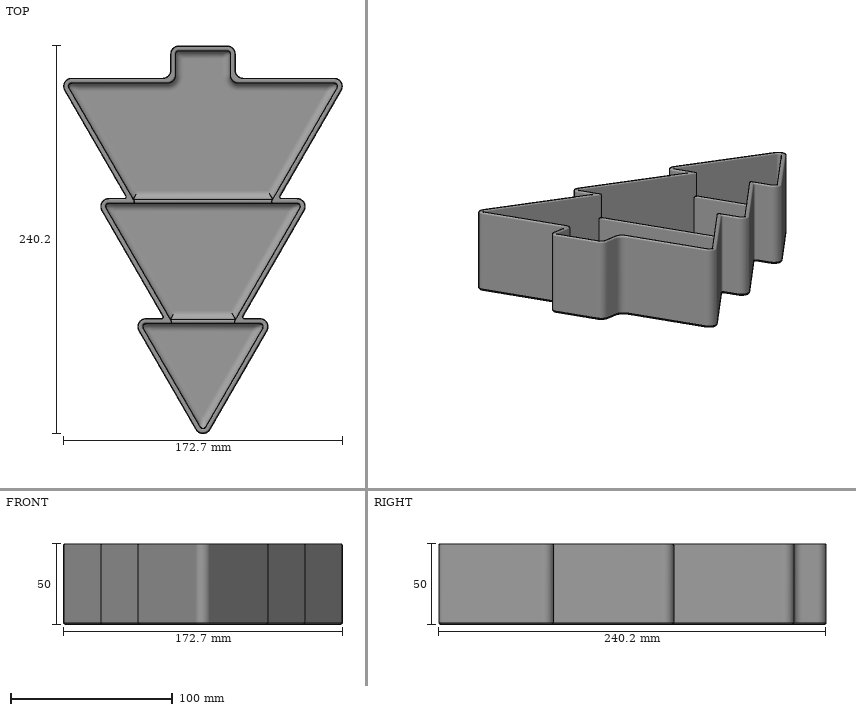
import cadquery as cq
import math

HEIGHT = 50.0
FLOOR = 5.0
WALL = 3.0
DIVIDER = 2.5
DIVIDER_TOP = 35.0
TRUNK_WIDTH = 40.0
TRUNK_LENGTH = 20.0
TIER_COUNT = 3
TIER_PITCH = 74.5
TOP_WIDTH = 180.0
SHOULDER_STEP = 20.0
SIDE_ANGLE = 60.0

CORNER_RADIUS = 5.0
TRUNK_ROOT_RADIUS = 5.0
NOTCH_RADIUS = 1.0
INNER_WAIST_RADIUS = 1.0
FLOOR_RADIUS = 5.0
RIM_RADIUS = 1.0
BASE_CHAMFER = 1.0

PICK_MARGIN = 0.1

INNER_CORNER_RADIUS = CORNER_RADIUS - WALL
INNER_ROOT_RADIUS = TRUNK_ROOT_RADIUS
SIDE_SLOPE = math.tan(math.radians(SIDE_ANGLE))
SIDE_INSET = WALL / math.sin(math.radians(SIDE_ANGLE))
PITCH_NARROWING = TIER_PITCH / SIDE_SLOPE
TRUNK_HALF = TRUNK_WIDTH / 2


def shoulder_y(tier):
    return -tier * TIER_PITCH


def shoulder_half(tier):
    """Half width of a tier at its shoulder, before corner rounding."""
    return TOP_WIDTH / 2 - tier * (PITCH_NARROWING - SHOULDER_STEP)


def side_x(tier, y):
    """X of the right-hand sloping side of a tier at the given Y."""
    return shoulder_half(tier) - (shoulder_y(tier) - y) / SIDE_SLOPE


def inner_side_point(tier, y):
    """Point on the inside face of a tier's right-hand sloping wall."""
    return (side_x(tier, y) - SIDE_INSET, y)


def divider_y(tier):
    """Y of the divider face that closes off a tier's cavity."""
    return shoulder_y(tier + 1) - WALL + DIVIDER


def mirrored_prism(right_points, base, height):
    """Extrude an outline given by its right-hand points, mirrored about X = 0."""
    left_points = [(-x, y) for x, y in reversed(right_points) if x > 0]
    outline = cq.Workplane("XY").workplane(offset=base).polyline(right_points + left_points).close()
    return outline.extrude(height)


def fillet_uprights(body, points, radius):
    """Round the vertical edges through the given right-hand points and their mirror images."""
    for x, y in points:
        for side in {x, -x}:
            low = (side - PICK_MARGIN, y - PICK_MARGIN, 0)
            high = (side + PICK_MARGIN, y + PICK_MARGIN, HEIGHT)
            body = body.edges("|Z").edges(cq.selectors.BoxSelector(low, high)).fillet(radius)
    return body


def make_outer_block():
    trunk_tip = (TRUNK_HALF, TRUNK_LENGTH)
    trunk_root = (TRUNK_HALF, 0)
    points = [trunk_tip, trunk_root]
    corners = [trunk_tip]
    notches = []
    for tier in range(TIER_COUNT):
        shoulder = (shoulder_half(tier), shoulder_y(tier))
        points.append(shoulder)
        corners.append(shoulder)
        if tier < TIER_COUNT - 1:
            waist_y = shoulder_y(tier + 1)
            waist = (side_x(tier, waist_y), waist_y)
            points.append(waist)
            notches.append(waist)
    last = TIER_COUNT - 1
    apex = (0, shoulder_y(last) - shoulder_half(last) * SIDE_SLOPE)
    points.append(apex)
    corners.append(apex)

    block = mirrored_prism(points, 0, HEIGHT)
    block = fillet_uprights(block, corners, CORNER_RADIUS)
    block = fillet_uprights(block, [trunk_root], TRUNK_ROOT_RADIUS)
    return fillet_uprights(block, notches, NOTCH_RADIUS)


def make_cavity(tier):
    """Space inside one tier; corners at a divider stay sharp in plan."""
    top_y = shoulder_y(tier) - WALL
    outline = []
    roots = []
    corners = []
    if tier == 0:
        trunk_half = TRUNK_HALF - WALL
        trunk_tip = (trunk_half, TRUNK_LENGTH - WALL)
        trunk_root = (trunk_half, top_y)
        outline += [trunk_tip, trunk_root]
        corners.append(trunk_tip)
        roots.append(trunk_root)
    shoulder = inner_side_point(tier, top_y)
    outline.append(shoulder)
    corners.append(shoulder)
    if tier < TIER_COUNT - 1:
        outline.append(inner_side_point(tier, divider_y(tier)))
    else:
        apex = (0, top_y - shoulder[0] * SIDE_SLOPE)
        outline.append(apex)
        corners.append(apex)

    cavity = mirrored_prism(outline, FLOOR, HEIGHT - FLOOR)
    cavity = fillet_uprights(cavity, roots, INNER_ROOT_RADIUS)
    cavity = fillet_uprights(cavity, corners, INNER_CORNER_RADIUS)
    return cavity.faces("<Z").edges().fillet(FLOOR_RADIUS)


def make_divider_opening(tier):
    """Space above a divider, joining the cavities on either side of it."""
    end_y = shoulder_y(tier + 1) - WALL
    points = [inner_side_point(tier, divider_y(tier)), inner_side_point(tier, end_y)]
    return mirrored_prism(points, DIVIDER_TOP, HEIGHT - DIVIDER_TOP)


def open_divider(body, tier):
    """Lower the divider after a tier and round the wall corners above its ends."""
    body = body.cut(make_divider_opening(tier))
    inner_waist = inner_side_point(tier, shoulder_y(tier + 1) - WALL)
    return fillet_uprights(body, [inner_waist], INNER_WAIST_RADIUS)


def round_divider(body, tier):
    """Round both long top edges of the divider after a tier."""
    for y in (shoulder_y(tier + 1) - WALL, divider_y(tier)):
        edge = cq.selectors.NearestToPointSelector((0, y, DIVIDER_TOP))
        body = body.edges(edge).fillet(RIM_RADIUS)
    return body


tray = make_outer_block().faces("<Z").edges().chamfer(BASE_CHAMFER)
for tier_index in range(TIER_COUNT):
    tray = tray.cut(make_cavity(tier_index))
for divider_index in range(TIER_COUNT - 1):
    tray = open_divider(tray, divider_index)
tray = tray.faces(">Z").edges().fillet(RIM_RADIUS)
for divider_index in range(TIER_COUNT - 1):
    tray = round_divider(tray, divider_index)
result = tray